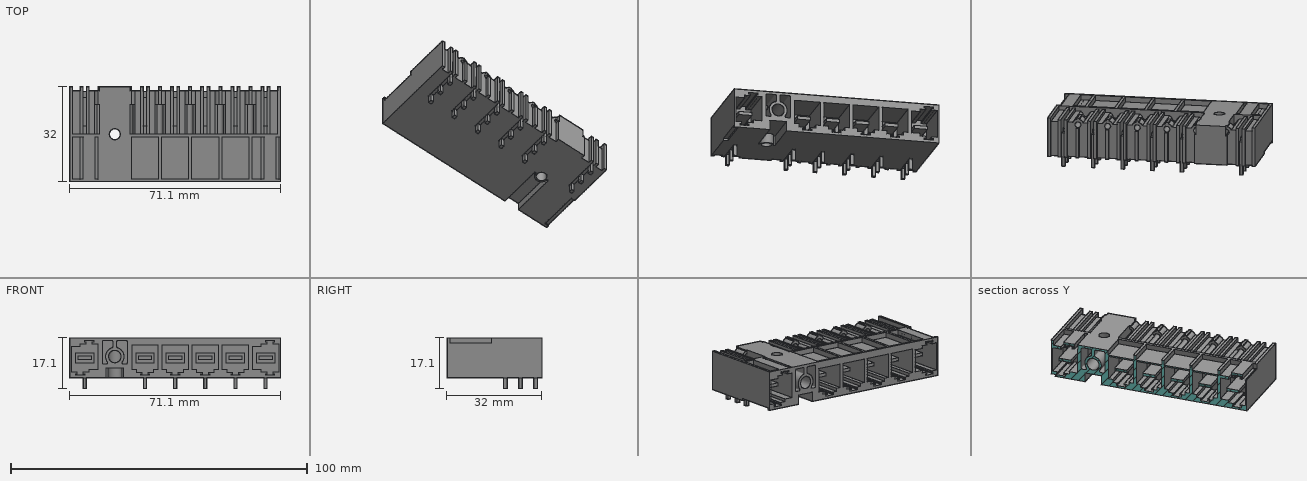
import cadquery as cq

pitch = 10.16
cell_count = 7
length = cell_count * pitch
depth = 32.0
height = 13.5
mid_z = height / 2
wall = 1.0

contact_cells = [0, 2, 3, 4, 5, 6]
screw_cell = 1
last_cell = cell_count - 1

cavity_depth = 15.0
cavity_half = 4.45
cavity_floor = 2.9
mid_cavity_top = 11.1
mid_step_half = 2.9
mid_step_floor = 1.85
end_step_x = 1.5
end_step_floor = 2.0
slot_lip_z = 1.4
slot_floor = 0.9
slot_neck = 2.0
slot_foot = 3.15
end_slot_offset = 1.5
window_width = 6.2
window_height = 3.4
window_depth = 0.6

pocket_front = 0.9
pocket_back = 15.0
pocket_depth = 1.75
slot_cover_half = 2.0
relief_width = 1.5
bottom_relief_depth = 0.7

deck_front = 16.1
deck_back = 30.7
deck_z = 12.0
contact_rib_z = 13.0
rib = 1.0
arch_front = 26.0
arch_outer_r = 1.95
tunnel_r = 1.0
tunnel_drop = 0.8
tunnel_z = deck_z - tunnel_drop
flare_half = 1.78

screw_y = 16.0
screw_hole_d = 3.6
screw_boss_d = 4.7
front_bore_d = 4.2
front_tube_r = 3.1
front_z = 7.2
front_window_half = 4.2
front_window_bottom = 4.7
front_window_top = 12.6
front_window_depth = 12.0
front_web = 1.3
front_foot = 4.9
front_corner_r = 0.4
notch_width = 5.8
notch_height = 3.3

contact_t = 1.1
contact_front = 18.75
contact_back = 30.45
contact_step_y = 28.4
contact_top = 9.0
contact_step_z = 8.0
blade_width = 4.5
blade_t = 1.1
blade_tip = 5.0
leg_depth = 1.3
leg_length = 3.6
leg_pitch = 5.08
leg_count = 3


def box(x0, x1, y0, y1, z0, z1):
    """Axis-aligned block between two corners."""
    return cq.Workplane("XY").box(x1 - x0, y1 - y0, z1 - z0, centered=False).translate((x0, y0, z0))


def cell_center(cell):
    return (cell + 0.5) * pitch


def rod(x, z, radius, y0, y1):
    """Cylinder along Y."""
    return cq.Workplane("XZ", origin=(x, y0, z)).circle(radius).extrude(y0 - y1)


def key_slot(x, roof_z):
    """T-shaped coding slot in the cavity floor, starting at roof_z and opening downwards."""
    neck = box(x - slot_neck / 2, x + slot_neck / 2, 0, cavity_depth, slot_floor, roof_z)
    foot = box(x - slot_foot / 2, x + slot_foot / 2, 0, cavity_depth, slot_floor, slot_lip_z)
    return neck.union(foot)


def mid_cavity(x):
    room = box(x - cavity_half, x + cavity_half, 0, cavity_depth, cavity_floor, mid_cavity_top)
    step = box(x - mid_step_half, x + mid_step_half, 0, cavity_depth, mid_step_floor, mid_z)
    return room.union(step).union(key_slot(x, mid_z))


def end_cavity_half(x, side):
    """Lower half of an end cavity; side is the X direction in which its step and slot lie."""
    room = box(x - cavity_half, x + cavity_half, 0, cavity_depth, cavity_floor, mid_z)
    near, far = sorted((x - side * end_step_x, x + side * cavity_half))
    step = box(near, far, 0, cavity_depth, end_step_floor, mid_z)
    return room.union(step).union(key_slot(x + side * end_slot_offset, mid_z))


def end_cavity(x, lower_side, upper_side):
    lower = end_cavity_half(x, lower_side)
    upper = end_cavity_half(x, upper_side).mirror("XY", (0, 0, mid_z))
    return lower.union(upper)


def contact_window(x):
    """Shallow opening around the blade in the cavity's back wall."""
    return box(x - window_width / 2, x + window_width / 2, cavity_depth, cavity_depth + window_depth,
               mid_z - window_height / 2, mid_z + window_height / 2)


def plug_cavity(cell):
    x = cell_center(cell)
    if cell == 0:
        cavity = end_cavity(x, -1, 1)
    elif cell == last_cell:
        cavity = end_cavity(x, 1, 1)
    else:
        cavity = mid_cavity(x)
    return cavity.union(contact_window(x))


def top_pocket(x0, x1):
    return box(x0, x1, pocket_front, pocket_back, height - pocket_depth, height)


def top_pockets():
    """Spans left open between the ribs and the covers of the upper end slots."""
    left_slot = cell_center(0) + end_slot_offset
    right_slot = cell_center(last_cell) + end_slot_offset
    spans = [
        (wall, left_slot - slot_cover_half),
        (left_slot + slot_cover_half, pitch - rib / 2),
        (last_cell * pitch + rib / 2, right_slot - slot_cover_half),
        (length - relief_width, length),
    ]
    for cell in range(screw_cell + 1, last_cell):
        spans.append((cell * pitch + rib / 2, (cell + 1) * pitch - rib / 2))
    return [top_pocket(x0, x1) for x0, x1 in spans]


def deck_cut(x0, x1):
    """Lowers the top behind the crossbar and sets the back face in from the walls."""
    lowered = box(x0, x1, deck_front, depth, deck_z, height)
    set_back = box(x0, x1, deck_back, depth, 0, height)
    return lowered.union(set_back)


def contact_ribs(x):
    """Two ribs on the deck on either side of a contact."""
    outer = contact_t / 2 + rib
    return box(x - outer, x + outer, deck_front, depth, 0, contact_rib_z)


def contact_slot(x):
    """Slot for the contact, open to the back and the bottom, and the hole for its blade."""
    upper = box(x - contact_t / 2, x + contact_t / 2, deck_front, depth, mid_z + blade_t / 2, height)
    lower = box(x - contact_t / 2, x + contact_t / 2, contact_front, depth, 0, height)
    blade_hole = box(x - blade_width / 2, x + blade_width / 2, cavity_depth, contact_front,
                     mid_z - blade_t / 2, mid_z + blade_t / 2)
    return upper.union(lower).union(blade_hole)


def arch(x):
    """Half-round arch with a rib on its crown, at the boundary of two cells."""
    crown = box(x - rib / 2, x + rib / 2, arch_front, deck_back, tunnel_z, height)
    lower_wall = box(x - rib / 2, x + rib / 2, deck_back, depth, 0, tunnel_z - tunnel_r)
    return rod(x, tunnel_z, arch_outer_r, arch_front, deck_back).union(crown).union(lower_wall)


def channel(x):
    """Tunnel under the arch, which opens into a flared trough in front of it."""
    flare = (
        cq.Workplane("XZ", origin=(x, deck_front, 0))
        .polyline([(-flare_half, deck_z), (flare_half, deck_z), (tunnel_r, tunnel_z), (-tunnel_r, tunnel_z)])
        .close()
        .extrude(deck_front - arch_front)
    )
    return rod(x, tunnel_z, tunnel_r, deck_front, depth).union(flare)


def screw_block():
    """Full-height block that carries the mounting screw."""
    x0 = screw_cell * pitch
    return box(x0, x0 + pitch, deck_front, depth, 0, height)


def screw_cuts():
    x = cell_center(screw_cell)
    hole = cq.Workplane("XY").center(x, screw_y).circle(screw_hole_d / 2).extrude(height)
    boss = cq.Workplane("XY").center(x, screw_y).circle(screw_boss_d / 2).extrude(height)
    notch = box(x - notch_width / 2, x + notch_width / 2, 0, screw_y, 0, notch_height).cut(boss)
    front_bore = rod(x, front_z, front_bore_d / 2, 0, screw_y).cut(boss)
    windows = (
        box(x - front_window_half, x + front_window_half, 0, front_window_depth,
            front_window_bottom, front_window_top)
        .cut(rod(x, front_z, front_tube_r, 0, front_window_depth))
        .cut(box(x - front_web / 2, x + front_web / 2, 0, front_window_depth, front_z, height))
        .cut(box(x - front_foot / 2, x + front_foot / 2, 0, front_window_depth, 0, front_z))
        .edges("|Y")
        .fillet(front_corner_r)
    )
    return [hole, notch, front_bore, windows]


def make_housing():
    body = box(0, length, 0, depth, 0, height)
    body = body.cut(deck_cut(wall, length - wall))
    for cell in contact_cells:
        body = body.union(contact_ribs(cell_center(cell)))
    boundaries = [edge * pitch for edge in range(1, cell_count)]
    for x in boundaries:
        body = body.union(arch(x))
    for x in boundaries:
        body = body.cut(channel(x))
    body = body.union(screw_block())
    for cell in contact_cells:
        body = body.cut(plug_cavity(cell)).cut(contact_slot(cell_center(cell)))
    for pocket in top_pockets():
        body = body.cut(pocket)
    body = body.cut(box(0, relief_width, pocket_front, pocket_back, 0, bottom_relief_depth))
    for cutter in screw_cuts():
        body = body.cut(cutter)
    return body


def make_contact(x):
    """Upright plate with a flat blade to the front and three solder legs."""
    x0 = x - contact_t / 2
    x1 = x + contact_t / 2
    body = box(x0, x1, contact_front, contact_step_y, 0, contact_top)
    body = body.union(box(x0, x1, contact_step_y, contact_back, 0, contact_step_z))
    body = body.union(box(x - blade_width / 2, x + blade_width / 2, blade_tip, contact_front,
                          mid_z - blade_t / 2, mid_z + blade_t / 2))
    for leg in range(leg_count):
        leg_back = contact_back - leg * leg_pitch
        body = body.union(box(x0, x1, leg_back - leg_depth, leg_back, -leg_length, 0))
    return body


housing = make_housing()
contacts = [make_contact(cell_center(cell)) for cell in contact_cells]
result = cq.Compound.makeCompound([housing.val(), *[contact.val() for contact in contacts]])